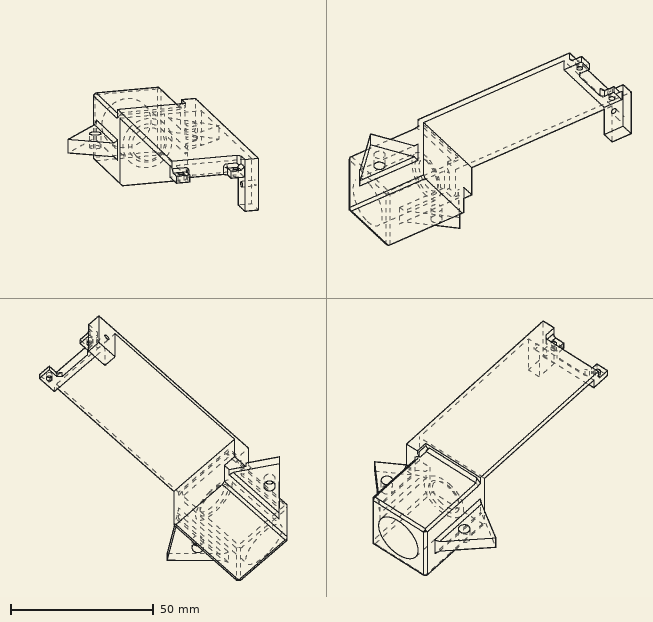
import cadquery as cq

length = 100.5
top_z = 27.5
chamfer = 1.0
root = 1.2
bevel_growth = 0.5

block = 25.0
block_end = 32.5
wall_x = 30.0
center = block / 2

plate_thickness = 2.5
plate_bottom = top_z - plate_thickness
plate_width = 30.0
ear_x = 25.4

bore_diameter = 18.1
bore_depth = 25.0
seat_diameter = 14.1
tip_diameter = 12.1
seat_depth = (seat_diameter - tip_diameter) / 2

lug_thickness = 5.0
lug_start = 5.0
lug_apex_x = 20.3
lug_span = 55.7
lug_reach = (lug_span - block) / 2
lug_hole_x = 16.4
lug_hole_diameter = 4.0
near_hole_y = -4.0
far_hole_y = 31.5
lug_top = center + lug_thickness / 2

flange_x = 92.4
flange_end = 94.8
flange_bottom = 20.9
post_y = 25.0
post_bottom = 8.4
post_hole_x = 96.5
post_hole_z = 17.3
tab_end = 99.9
tab_top = 23.5
tab_width = 4.9
tab_hole_x = 97.4
small_hole_diameter = 2.0


def box(x0, x1, y0, y1, z0, z1):
    """Box between opposite corners."""
    return cq.Workplane("XY").box(x1 - x0, y1 - y0, z1 - z0, centered=False).translate((x0, y0, z0))


def section_points(grow, bevel):
    """Corners of the block section in (Y, Z), grown on all sides, with beveled corners."""
    low, high = -grow, block + grow
    return [
        (low + bevel, low), (high - bevel, low), (high, low + bevel), (high, high - bevel),
        (high - bevel, high), (low + bevel, high), (low, high - bevel), (low, low + bevel),
    ]


def socket_block():
    """Chamfered square block with a square-edged top where it joins the plate."""
    body = cq.Workplane("YZ").polyline(section_points(0, chamfer)).close().extrude(block_end)
    nose = (
        cq.Workplane("YZ")
        .center(center, center)
        .rect(block - 2 * chamfer, block - 2 * chamfer)
        .extrude(chamfer, taper=-45)
    )
    rest = box(chamfer, block_end, 0, block, 0, block)
    body = body.intersect(nose.union(rest))
    return body.union(box(wall_x, block_end, 0, block, center, top_z))


def block_collar(x):
    """Chamfer around the block against a wall at x."""
    wide_bevel = chamfer + 2 * root - bevel_growth
    return (
        cq.Workplane("YZ", origin=(x - root, 0, 0))
        .polyline(section_points(0, chamfer))
        .close()
        .workplane(offset=root)
        .polyline(section_points(root, wide_bevel))
        .close()
        .loft(ruled=True)
    )


def plate():
    """Top plate, its ear beside the block and the chamfers around the step."""
    body = box(wall_x, flange_end, 0, plate_width, plate_bottom, top_z)
    body = body.union(box(ear_x, block_end, block - chamfer, block, center, block))
    body = body.union(box(ear_x, block_end, block, plate_width, center, top_z))
    body = body.union(block_collar(wall_x).intersect(box(0, wall_x, 0, block, center, top_z)))
    ear_side = box(0, ear_x, block - chamfer, plate_width, center, block)
    body = body.union(block_collar(ear_x).intersect(ear_side))
    side_fill = (
        cq.Workplane("YZ", origin=(ear_x, 0, 0))
        .polyline([(block, block), (block - root, block), (block, block + root)])
        .close()
        .extrude(wall_x - ear_x)
    )
    ear_foot = (
        cq.Workplane("XZ", origin=(0, block, 0))
        .polyline([(ear_x, lug_top), (ear_x - root, lug_top), (ear_x, lug_top + root)])
        .close()
        .extrude(block - plate_width)
    )
    return body.union(side_fill).union(ear_foot)


def lug(base_y, side):
    """Triangular lug with chamfers where it meets the block; side is the sign of Y."""
    def outline(height):
        return (
            cq.Workplane("XY", origin=(0, 0, center - height / 2))
            .polyline([(lug_start, base_y), (wall_x, base_y), (lug_apex_x, base_y + side * lug_reach)])
            .close()
            .extrude(height)
        )

    half = lug_thickness / 2
    gusset = (
        cq.Workplane("YZ", origin=(lug_start, 0, 0))
        .polyline([
            (base_y, center - half - root), (base_y + side * root, center - half),
            (base_y + side * root, center + half), (base_y, center + half + root),
        ])
        .close()
        .extrude(wall_x - lug_start)
    )
    return outline(lug_thickness).union(gusset.intersect(outline(lug_thickness + 2 * root)))


def tab(y0):
    """Screw tab with a flared root against the end flange."""
    body = box(flange_end, tab_end, y0, y0 + tab_width, flange_bottom, tab_top)
    flare = (
        cq.Workplane("YZ", origin=(flange_end + root, 0, 0))
        .center(y0 + tab_width / 2, (flange_bottom + tab_top) / 2)
        .rect(tab_width, tab_top - flange_bottom)
        .extrude(-root, taper=-45)
    )
    return body.union(flare.intersect(box(flange_end, tab_end, 0, post_y, flange_bottom, top_z)))


def far_end():
    """End flange, corner post and two screw tabs."""
    upper_tab_y = post_y - tab_width
    body = box(flange_x, flange_end, 0, plate_width, flange_bottom, top_z)
    body = body.union(box(flange_x, length, post_y, plate_width, post_bottom, top_z))
    body = body.union(tab(0)).union(tab(upper_tab_y))
    corner_fill = (
        cq.Workplane("XY", origin=(0, 0, tab_top))
        .polyline([(flange_end, post_y), (flange_end + root, post_y), (flange_end, post_y - root)])
        .close()
        .extrude(top_z - tab_top)
    )
    tab_fill = (
        cq.Workplane("YZ", origin=(flange_end, 0, 0))
        .polyline([(post_y, tab_top), (post_y - root, tab_top), (post_y, tab_top + root)])
        .close()
        .extrude(tab_end - flange_end)
    )
    return body.union(corner_fill).union(tab_fill)


def bore():
    """Bore from the -X face, ending in a smaller conical seat."""
    main = cq.Workplane("YZ").center(center, center).circle(bore_diameter / 2).extrude(bore_depth)
    seat = (
        cq.Workplane("YZ", origin=(bore_depth, 0, 0))
        .center(center, center)
        .circle(seat_diameter / 2)
        .extrude(seat_depth, taper=45)
    )
    return main.union(seat)


def vertical_holes(points, diameter):
    """Through holes along Z."""
    return cq.Workplane("XY").pushPoints(points).circle(diameter / 2).extrude(top_z)


lug_holes = vertical_holes([(lug_hole_x, near_hole_y), (lug_hole_x, far_hole_y)], lug_hole_diameter)
tab_hole_offset = tab_width / 2
tab_holes = vertical_holes(
    [(tab_hole_x, tab_hole_offset), (tab_hole_x, post_y - tab_hole_offset)], small_hole_diameter
)
post_hole = (
    cq.Workplane("XZ")
    .center(post_hole_x, post_hole_z)
    .circle(small_hole_diameter / 2)
    .extrude(-plate_width)
)

result = socket_block().union(plate()).union(far_end())
result = result.union(lug(0, -1)).union(lug(block, 1))
result = result.cut(bore()).cut(lug_holes).cut(tab_holes).cut(post_hole)